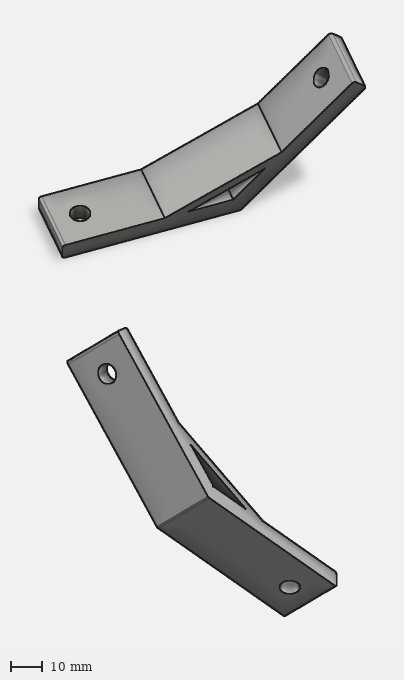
import cadquery as cq
import math

WIDTH = 22.0
ARM_LENGTH = 60.0
ARM_THICKNESS = 6.0
BEND_ANGLE = 45.0
EDGE_RADIUS = 1.0
HOLE_DIAMETER = 6.5
HOLE_END_DISTANCE = 10.0
BRACE_REACH = 25.5
WINDOW_LEG = 15.0

INNER_CORNER_SETBACK = ARM_THICKNESS * math.tan(math.radians(BEND_ANGLE / 2))
WINDOW_REACH = INNER_CORNER_SETBACK + WINDOW_LEG
HOLE_REACH = ARM_LENGTH - HOLE_END_DISTANCE



def flat_arm_point(reach, height):
    """(Y, Z) of a point `reach` along the flat arm and `height` above its underside."""
    return (-reach, height)


def tilted_arm_point(reach, height):
    """(Y, Z) of a point `reach` along the tilted arm and `height` above its underside."""
    cosine = math.cos(math.radians(BEND_ANGLE))
    sine = math.sin(math.radians(BEND_ANGLE))
    return (reach * cosine - height * sine, reach * sine + height * cosine)


def extrude_profile(points):
    """Prism across the width, centred on X = 0, from a (Y, Z) outline."""
    return cq.Workplane("YZ").polyline(points).close().extrude(WIDTH / 2, both=True)


def make_body():
    """Two arms and the brace between them, with rounded ends and outer bend."""
    outer_corner = (0, 0)
    flat_end = [flat_arm_point(ARM_LENGTH, height) for height in (0, ARM_THICKNESS)]
    tilted_end = [tilted_arm_point(ARM_LENGTH, height) for height in (ARM_THICKNESS, 0)]
    brace_feet = [
        flat_arm_point(BRACE_REACH, ARM_THICKNESS),
        tilted_arm_point(BRACE_REACH, ARM_THICKNESS),
    ]
    body = extrude_profile([outer_corner] + flat_end + brace_feet + tilted_end)
    for y, z in [outer_corner] + flat_end + tilted_end:
        edge = cq.selectors.NearestToPointSelector((0, y, z))
        body = body.edges("|X").edges(edge).fillet(EDGE_RADIUS)
    return body


def make_window():
    """Triangular opening enclosed by the arms and the brace."""
    return extrude_profile([
        flat_arm_point(INNER_CORNER_SETBACK, ARM_THICKNESS),
        flat_arm_point(WINDOW_REACH, ARM_THICKNESS),
        tilted_arm_point(WINDOW_REACH, ARM_THICKNESS),
    ])


def make_hole(arm_point):
    """Cylinder through one arm, square to its faces."""
    start_y, start_z = arm_point(HOLE_REACH, 0)
    end_y, end_z = arm_point(HOLE_REACH, ARM_THICKNESS)
    direction = cq.Vector(0, end_y - start_y, end_z - start_z)
    start = cq.Vector(0, start_y, start_z)
    return cq.Solid.makeCylinder(HOLE_DIAMETER / 2, ARM_THICKNESS, start, direction)


result = make_body().cut(make_window())
for arm_point in (flat_arm_point, tilted_arm_point):
    result = result.cut(make_hole(arm_point))